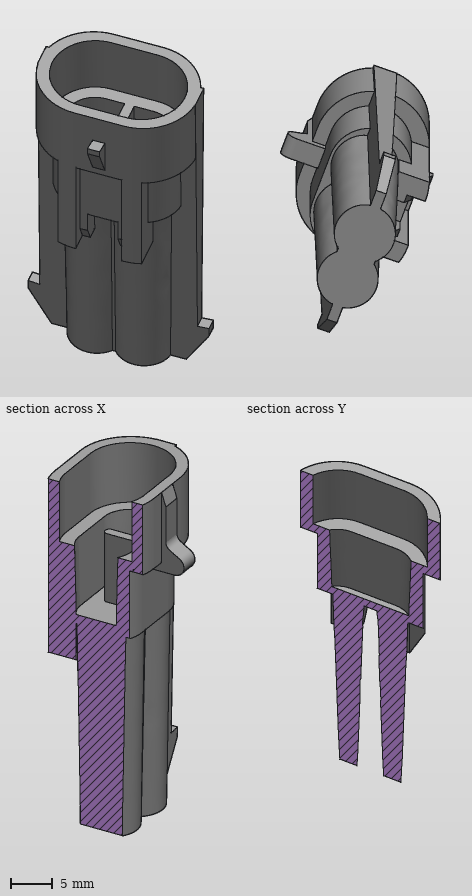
import cadquery as cq
import math

height = 45.5

shell_length = 20.0
shell_width = 13.75
shell_bottom = 36.05
cavity_length = 16.85
cavity_width = 10.9
cavity_floor = 37.45

collar_length = 16.2
collar_width = 9.95
collar_y = 0.25
collar_bottom = 26.95

pocket_length = 13.38
pocket_width = 7.33
pocket_y = 0.1
pocket_floor = 28.2
pocket_draft = 1.2
key_width = 1.25
key_tip_y = -1.75

tube_spacing = 5.95
tube_y = 0.8
tube_top_radius = 4.05
tube_bottom_radius = 3.65
web_width = 0.4

wing_top_back = 2.25
wing_top_front = -0.7
wing_foot_back = 1.4
wing_foot_front = 0.15
barb_reach = 11.49
barb_foot = 8.55
barb_shoulder = 5.2
barb_top = 6.5
barb_root = 6.35

leg_outer = 5.32
leg_inner = 2.9
leg_back = -2.65
leg_bottom = 22.0
foot_inner = 1.9
foot_front_bottom = 24.1
foot_back = -4.55
panel_front = -5.45

latch_thickness = 2.6
latch_stem_y = 7.45
latch_end_y = 9.95
latch_bottom = 34.8
latch_end_radius = 1.27
latch_stem_top = 43.7
latch_stem_foot = 38.8
latch_blend_middle = (7.65, 38.3)
latch_blend_end = (8.05, 37.95)
tooth_thickness = 1.55
tooth_tip_y = -8.65
tooth_top = 41.9
tooth_root_top = 41.65
tooth_tip_bottom = 41.05
tooth_root_bottom = 36.95


def oval(length, width, y, bottom, top):
    """Upright oval prism centred on X = 0."""
    base = cq.Workplane("XY", origin=(0, y, bottom))
    return base.slot2D(length, width).extrude(top - bottom)


def block(x0, x1, y0, y1, z0, z1):
    """Box given by its limits along each axis."""
    box = cq.Workplane("XY").box(x1 - x0, y1 - y0, z1 - z0, centered=False)
    return box.translate((x0, y0, z0))


def side_plate(outline, x0, x1):
    """Plate spanning x0 to x1 from an outline of (Y, Z) points."""
    return cq.Workplane("YZ", origin=(x0, 0, 0)).polyline(outline).close().extrude(x1 - x0)


def web_half_depth(tube_radius):
    """Half depth of the web, flush with the tubes where its sides meet them."""
    return math.sqrt(tube_radius**2 - (tube_spacing / 2 - web_width / 2) ** 2)


def tubes():
    half_web = web_width / 2
    foot_depth = web_half_depth(tube_bottom_radius)
    top_depth = web_half_depth(tube_top_radius)
    pair = side_plate(
        [(tube_y - foot_depth, 0), (tube_y + foot_depth, 0),
         (tube_y + top_depth, collar_bottom), (tube_y - top_depth, collar_bottom)],
        -half_web, half_web,
    )
    for side in (-1, 1):
        tube = cq.Solid.makeCone(tube_bottom_radius, tube_top_radius, collar_bottom,
                                 pnt=cq.Vector(side * tube_spacing / 2, tube_y, 0))
        pair = pair.union(cq.Workplane(obj=tube))
    return pair


def wings():
    half = shell_length / 2
    right_edge = [(barb_foot, 0), (barb_reach, barb_shoulder), (barb_reach, barb_top),
                  (half, barb_root), (half, height)]
    left_edge = [(-x, z) for x, z in reversed(right_edge)]
    front_shape = (
        cq.Workplane("XZ").polyline(right_edge + left_edge).close()
        .extrude(shell_width / 2, both=True)
    )
    taper = side_plate(
        [(wing_foot_front, 0), (wing_foot_back, 0), (wing_top_back, height), (wing_top_front, height)],
        -barb_reach, barb_reach,
    )
    return front_shape.intersect(taper)


def left_leg():
    """Leg whose front face continues the shell, with a foot on its inner side."""
    leg = block(-leg_outer, -leg_inner, -shell_width / 2, leg_back, leg_bottom, shell_bottom)
    leg = leg.intersect(oval(shell_length, shell_width, 0, leg_bottom, shell_bottom))
    foot = side_plate(
        [(leg_back, collar_bottom), (panel_front, collar_bottom), (panel_front, foot_front_bottom),
         (foot_back, leg_bottom), (leg_back, leg_bottom)],
        -leg_inner, -foot_inner,
    )
    return leg.union(foot)


def latch():
    """Stem on the back of the shell with a round-ended thumb piece."""
    end_y = latch_end_y - latch_end_radius
    end_z = latch_bottom + latch_end_radius
    tangent_angle = math.radians(60)
    blend_y = end_y + latch_end_radius * math.cos(tangent_angle)
    blend_z = end_z + latch_end_radius * math.sin(tangent_angle)
    profile = (
        cq.Workplane("YZ", origin=(-latch_thickness / 2, 0, 0))
        .moveTo(cavity_width / 2, height)
        .lineTo(shell_width / 2, height)
        .lineTo(latch_stem_y, latch_stem_top)
        .lineTo(latch_stem_y, latch_stem_foot)
        .threePointArc(latch_blend_middle, latch_blend_end)
        .lineTo(blend_y, blend_z)
        .threePointArc((latch_end_y, end_z), (end_y, latch_bottom))
        .lineTo(collar_y, latch_bottom)
        .lineTo(collar_y, shell_bottom)
        .lineTo(cavity_width / 2, shell_bottom)
        .close()
    )
    return profile.extrude(latch_thickness)


def tooth():
    root = -shell_width / 2
    inside = -(shell_width + cavity_width) / 4
    return side_plate(
        [(inside, tooth_root_top), (root, tooth_root_top), (tooth_tip_y, tooth_top),
         (tooth_tip_y, tooth_tip_bottom), (root, tooth_root_bottom), (inside, tooth_root_bottom)],
        -tooth_thickness / 2, tooth_thickness / 2,
    )


def pocket():
    mouth = cq.Workplane("XY", origin=(0, pocket_y, cavity_floor))
    cut = mouth.slot2D(pocket_length, pocket_width).extrude(pocket_floor - cavity_floor, taper=pocket_draft)
    key_radius = key_width / 2
    tip_centre = key_tip_y + key_radius
    key = block(-key_radius, key_radius, tip_centre, pocket_y + pocket_width / 2,
                pocket_floor, cavity_floor)
    tip = (
        cq.Workplane("XY", origin=(0, tip_centre, pocket_floor))
        .circle(key_radius).extrude(cavity_floor - pocket_floor)
    )
    return cut.cut(key).cut(tip)


panel = block(-leg_inner, leg_inner, panel_front, collar_y, collar_bottom, shell_bottom)
legs = left_leg()
legs = legs.union(legs.mirror("YZ"))

body = oval(shell_length, shell_width, 0, shell_bottom, height)
body = body.union(oval(collar_length, collar_width, collar_y, collar_bottom, shell_bottom))
for feature in (tubes(), wings(), panel, legs, latch(), tooth()):
    body = body.union(feature)

cavity = oval(cavity_length, cavity_width, 0, cavity_floor, height)
result = body.cut(cavity).cut(pocket())